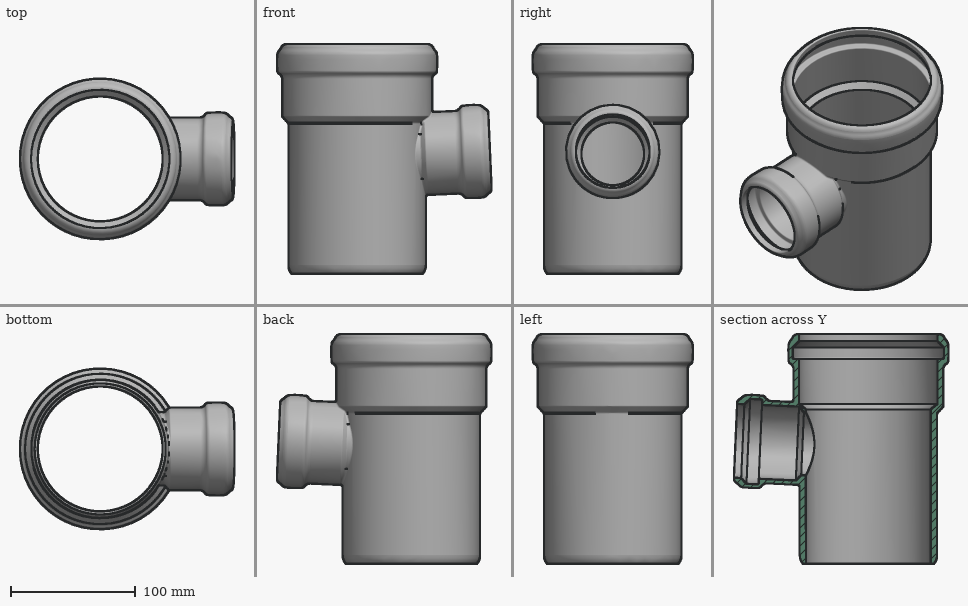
import cadquery as cq
import math

PIPE_LENGTH = 184.2
PIPE_RADIUS = 110.4 / 2
PIPE_BORE_RADIUS = 99.8 / 2
SPIGOT_ROUND_HEIGHT = 7.0
SPIGOT_ROUND_DEPTH = 2.7

BRANCH_RISE_ANGLE = 2.5
BRANCH_AXIS_HEIGHT = 93.9
BRANCH_REACH = 106.45
BRANCH_PIPE_RADIUS = 58.8 / 2
BRANCH_BORE_RADIUS = 50.2 / 2

MAIN_SOCKET = {
    "tube_radius": 120.4 / 2,
    "bore_radius": 110.8 / 2,
    "crown_radius": 128.9 / 2,
    "groove_radius": 120.9 / 2,
    "lip_radius": 121.8 / 2,
    "lip_depth": 2.8,
    "neck_depth": 5.4,
    "crown_top": 8.6,
    "crown_bottom": 21.3,
    "flank_bottom": 24.0,
    "bead_bottom": 28.0,
    "shoulder_top": 58.1,
    "shoulder_bottom": 63.5,
    "inner_shoulder_top": 56.0,
    "inner_shoulder_bottom": 60.4,
}
BRANCH_SOCKET = {
    "tube_radius": 66.4 / 2,
    "bore_radius": 59.0 / 2,
    "crown_radius": 75.0 / 2,
    "groove_radius": 67.9 / 2,
    "lip_radius": 67.2 / 2,
    "lip_depth": 2.1,
    "neck_depth": 4.4,
    "crown_top": 7.4,
    "crown_bottom": 19.7,
    "flank_bottom": 22.5,
    "bead_bottom": 27.0,
    "shoulder_top": 51.3,
    "shoulder_bottom": 55.1,
    "inner_shoulder_top": 49.7,
    "inner_shoulder_bottom": 53.8,
}

CROWN_BULGE = 0.4
BEAD_FLANK_HEIGHT = 1.5
MOUTH_ROUND = 0.6
GROOVE_TOP = 5.9
GROOVE_LEDGE = 20.0
GROOVE_ROUND = 1.0
OUTSIDE_ROUND = 1.2

TOLERANCE = 0.001

DIAGONAL = math.sqrt(0.5)


def revolve_about_z(outline):
    """Turn a closed outline about Z, with the start line on the side away from the branch."""
    turned = outline.close().revolve(360, (0, 0, 0), (0, 1, 0))
    return turned.rotate((0, 0, 0), (0, 0, 1), 180)


def shoulder_edges(body, mouth_height, socket):
    """The level circular edges at the step between an upright pipe and its socket."""
    reach = 2 * socket["crown_radius"]
    step_zone = cq.selectors.BoxSelector(
        (-reach, -reach, mouth_height - socket["shoulder_bottom"] - TOLERANCE),
        (reach, reach, mouth_height - socket["shoulder_top"] + TOLERANCE),
        boundingbox=True,
    )
    return body.edges(step_zone).edges("%CIRCLE").vals()


def socket_body(socket, mouth_height, pipe_radius):
    """Solid outside form of a socket and the pipe below it, down to Z = 0."""
    tube = socket["tube_radius"]
    crown = socket["crown_radius"]
    lip = socket["lip_radius"]
    crown_edge = crown - CROWN_BULGE
    flank = crown_edge - BEAD_FLANK_HEIGHT
    crown_middle = (socket["crown_top"] + socket["crown_bottom"]) / 2

    bore = socket["bore_radius"]
    crest = bore + MOUTH_ROUND
    lip_width = lip - crest
    lip_arc = (lip_width**2 + socket["lip_depth"] ** 2) / (2 * socket["lip_depth"])
    lip_middle = crest + lip_width / 2
    lip_middle_depth = lip_arc - math.sqrt(lip_arc**2 - (lip_width / 2) ** 2)
    mouth_cut = MOUTH_ROUND * (1 - DIAGONAL)

    def at(radius, depth):
        return (radius, mouth_height - depth)

    outline = (
        cq.Workplane("XZ")
        .lineTo(pipe_radius, 0)
        .lineTo(*at(pipe_radius, socket["shoulder_bottom"]))
        .lineTo(*at(tube, socket["shoulder_top"]))
        .lineTo(*at(tube, socket["bead_bottom"]))
        .tangentArcPoint(at(flank, socket["flank_bottom"]), relative=False)
        .tangentArcPoint(at(crown_edge, socket["crown_bottom"]), relative=False)
        .threePointArc(at(crown, crown_middle), at(crown_edge, socket["crown_top"]))
        .tangentArcPoint(at(flank, socket["neck_depth"]), relative=False)
        .tangentArcPoint(at(lip, socket["lip_depth"]), relative=False)
        .threePointArc(at(lip_middle, lip_middle_depth), at(crest, 0))
        .threePointArc(at(bore + mouth_cut, mouth_cut), at(bore, MOUTH_ROUND))
        .lineTo(*at(0, MOUTH_ROUND))
    )
    return revolve_about_z(outline)


def socket_cavity(socket, mouth_height, pipe_bore_radius):
    """Bore of a socket, with its seal groove, and the pipe bore below it."""
    bore = socket["bore_radius"]
    groove = socket["groove_radius"]
    groove_depth = groove - bore
    arc_cut = GROOVE_ROUND * (1 - DIAGONAL)

    def at(radius, depth):
        return (radius, mouth_height - depth)

    outline = (
        cq.Workplane("XZ")
        .lineTo(pipe_bore_radius, 0)
        .lineTo(*at(pipe_bore_radius, socket["inner_shoulder_bottom"]))
        .lineTo(*at(bore, socket["inner_shoulder_top"]))
        .lineTo(*at(bore, GROOVE_LEDGE + GROOVE_ROUND))
        .threePointArc(
            at(bore + arc_cut, GROOVE_LEDGE + arc_cut),
            at(bore + GROOVE_ROUND, GROOVE_LEDGE),
        )
        .lineTo(*at(groove - GROOVE_ROUND, GROOVE_LEDGE))
        .threePointArc(
            at(groove - arc_cut, GROOVE_LEDGE - arc_cut),
            at(groove, GROOVE_LEDGE - GROOVE_ROUND),
        )
        .lineTo(*at(groove, GROOVE_TOP + groove_depth))
        .lineTo(*at(bore, GROOVE_TOP))
        .lineTo(bore, mouth_height)
        .lineTo(0, mouth_height)
    )
    return revolve_about_z(outline)


def round_spigot(body):
    """Curve the foot of the main pipe inwards so that it enters a socket."""
    arc_radius = (SPIGOT_ROUND_HEIGHT**2 + SPIGOT_ROUND_DEPTH**2) / (2 * SPIGOT_ROUND_DEPTH)
    half_height = SPIGOT_ROUND_HEIGHT / 2
    half_depth = arc_radius - math.sqrt(arc_radius**2 - half_height**2)
    waste = (
        cq.Workplane("XZ")
        .moveTo(PIPE_RADIUS - SPIGOT_ROUND_DEPTH, 0)
        .threePointArc(
            (PIPE_RADIUS - half_depth, half_height),
            (PIPE_RADIUS, SPIGOT_ROUND_HEIGHT),
        )
        .lineTo(PIPE_RADIUS + SPIGOT_ROUND_DEPTH, SPIGOT_ROUND_HEIGHT)
        .lineTo(PIPE_RADIUS + SPIGOT_ROUND_DEPTH, 0)
    )
    return body.cut(revolve_about_z(waste))


def place_branch(shape):
    """Lay a Z-axis shape along the branch axis."""
    tilted = shape.rotate((0, 0, 0), (0, 1, 0), 90 - BRANCH_RISE_ANGLE)
    return tilted.translate((0, 0, BRANCH_AXIS_HEIGHT))


def round_shoulder(body, mouth_height, socket):
    """Round the outside edges of the step below a socket."""
    body_edges = shoulder_edges(body, mouth_height, socket)
    return body.newObject([body.val().fillet(OUTSIDE_ROUND, body_edges)])


def lies_on(body, edge):
    """True where an edge runs along the outside surface of a body."""
    point = cq.Vertex.makeVertex(*edge.positionAt(0.4).toTuple())
    return body.val().Shells()[0].distance(point) < TOLERANCE


def join_branch(pipe, branch):
    """Unite the pipes, then round their seam and the main shoulder it crosses."""
    joined = pipe.union(branch)
    seam = [edge for edge in joined.edges().vals() if lies_on(pipe, edge) and lies_on(branch, edge)]
    shoulder = shoulder_edges(joined, PIPE_LENGTH, MAIN_SOCKET)
    return joined.newObject([joined.val().fillet(OUTSIDE_ROUND, seam + shoulder)])


main_body = round_spigot(socket_body(MAIN_SOCKET, PIPE_LENGTH, PIPE_RADIUS))
sharp_branch = socket_body(BRANCH_SOCKET, BRANCH_REACH, BRANCH_PIPE_RADIUS)
branch_body = place_branch(round_shoulder(sharp_branch, BRANCH_REACH, BRANCH_SOCKET))
main_cavity = socket_cavity(MAIN_SOCKET, PIPE_LENGTH, PIPE_BORE_RADIUS)
branch_cavity = place_branch(socket_cavity(BRANCH_SOCKET, BRANCH_REACH, BRANCH_BORE_RADIUS))

outside = join_branch(main_body, branch_body)
result = outside.cut(main_cavity).cut(branch_cavity)